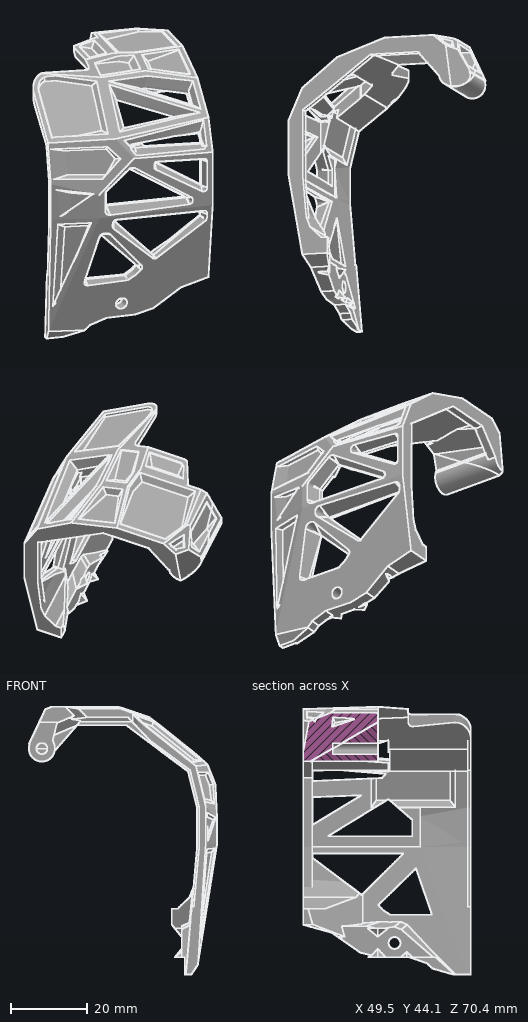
import cadquery as cq

TOTAL_X = 49.47
TOTAL_Y = 44.05
TOTAL_Z = 70.38
FAR = 200.0
CORE_POINT = cq.Vector(25.0, -20.0, -40.0)

HINGE_X = 3.44
HINGE_Z = -11.0
KNUCKLE_RADIUS = 3.44
HINGE_BORE_DIAMETER = 2.9
HINGE_BORE_END_Y = -7.8
KNUCKLE_FRONT_Y = -19.7
ARM_ROOF_X = 11.9

FLANGE_FRONT_Y = -27.6
FLANGE_CORNER_RADIUS = 2.5
NOSE_CORNER_RADIUS = 4.2
NOSE_BORDER = 1.4
NECK_FILLET = 1.2
NOSE_CORNER = (26.9, -TOTAL_Y)
NECK_CORNER = (28.45, FLANGE_FRONT_Y)
FLANGE_CORNER = (12.6, FLANGE_FRONT_Y)
FLANGE_START_X = 9.6

RIM_UNDERSIDE_Z = -4.9
RIM_WIDTH = 2.4
FRONT_BAND_WIDTH = 0.85
FRONT_BAND_DEPTH = 0.6
FRONT_BAND_END_X = 42.75
FRONT_BAND_END_Z = -52.5
WINDOW_BEVEL_DEPTH = 2.0
WINDOW_END_Z = -20.0
FLARE_ANGLE = 22.0
WALL_CUT_START_X = 35.0
WALL_CUT_END_X = 55.0
RECESS_DEPTH = 1.2
TRUSS_INNER_X = 44.7
TRUSS_FRONT_Y = -30.7
FOLD_END_Y = -42.8

PLATE_X = 40.1
HEEL_FRONT_Y = -15.7
LOWER_PLATE_X = 40.9
PLATE_ROOT_X = 43.0
PLATE_BOTTOM_Z = -65.85
SCREW_Y = -24.0
SCREW_Z = -62.05
SCREW_DIAMETER = 3.05
NIB_TIP_X = 38.3
NIB_EMBED = 0.3
NIBS = [(-19.6, -60.8, -58.2, 3.1), (-19.6, -63.2, PLATE_BOTTOM_Z, 2.5), (-27.2, -64.1, PLATE_BOTTOM_Z, 1.9)]


def prism_along_y(points_xz, y_front, y_back):
    sketch = cq.Workplane("XZ", origin=(0, y_back, 0)).polyline(points_xz).close()
    return sketch.extrude(y_back - y_front)


def prism_along_x(points_yz, x_start, x_end):
    return cq.Workplane("YZ", origin=(x_start, 0, 0)).polyline(points_yz).close().extrude(x_end - x_start)


def plane_normal(facet, toward=CORE_POINT):
    """Unit normal of the plane through three points, turned toward a given point."""
    p, q, r = (cq.Vector(*corner) for corner in facet)
    normal = (q - p).cross(r - p).normalized()
    return normal if normal.dot(toward - p) > 0 else normal * -1


def beyond(facet, toward=CORE_POINT):
    """Everything on the side of a facet's plane that faces away from a given point."""
    outward = plane_normal(facet, toward) * -1
    plane = cq.Plane(origin=facet[0], normal=outward.toTuple())
    return cq.Workplane(plane).rect(FAR, FAR).extrude(FAR)


def pyramid(base, apex):
    """Solid with a flat polygon base and one apex."""
    sides = [base] + [(base[i - 1], base[i], apex) for i in range(len(base))]
    wires = [cq.Wire.makePolygon([cq.Vector(*corner) for corner in side], close=True) for side in sides]
    faces = [cq.Face.makeFromWires(wire) for wire in wires]
    return cq.Workplane(obj=cq.Solid.makeSolid(cq.Shell.makeShell(faces)))


def on_facet(facet, point, depth=0.0):
    """Fill in the coordinate given as None so the point lies on the facet, sunk by depth."""
    normal = plane_normal(facet)
    level = normal.dot(cq.Vector(*facet[0])) + depth
    n = normal.toTuple()
    free = point.index(None)
    known = sum(n[i] * point[i] for i in range(3) if i != free)
    filled = list(point)
    filled[free] = (level - known) / n[free]
    return cq.Vector(*filled)


def pocket(facet, opening, floor, depths):
    """Tapered recess from an opening on a facet to a flat floor.

    The first three floor corners are sunk by the given depths; the others lie in the same plane.
    """
    mouth = [on_facet(facet, point) for point in opening]
    base = [on_facet(facet, point, depth) for point, depth in zip(floor, depths)]
    floor_plane = [corner.toTuple() for corner in base]
    base += [on_facet(floor_plane, point) for point in floor[3:]]
    wires = [cq.Wire.makePolygon(corners, close=True) for corners in (mouth, base)]
    return cq.Workplane(obj=cq.Solid.makeLoft(wires, True))


def at_xy(*points):
    return [(x, y, None) for x, y in points]


def at_xz(*points):
    return [(x, None, z) for x, z in points]


def at_yz(*points):
    return [(None, y, z) for y, z in points]


arm_back_low = (4.97, 0, -3.55)
arm_back_high = (8.4, 0, -0.6)
arm_corner = (2.8, -3.0, -4.2)
arm_back_foot = (3.6, 0, -14.0)
hinge_side_low = (0, KNUCKLE_FRONT_Y, -9.8)
hinge_side_high = (4.29, KNUCKLE_FRONT_Y, -0.7)
crown_left = (6.0, KNUCKLE_FRONT_Y, 0)
crown_right = (23.5, KNUCKLE_FRONT_Y, 0)
roof_back = (21.65, 0, -0.6)
flange_front = (20.0, FLANGE_FRONT_Y, -0.6)
ridge_left = (24.2, -13.35, -0.2)
ridge_right = (31.6, -13.35, -2.75)
hub = (32.0, -25.5, -3.2)
shoulder_back = (43.95, 0, -11.9)
shoulder = (47.0, -26.4, -15.25)
shoulder_front = (43.9, -TOTAL_Y, -15.6)
side_back_top = (48.1, 0, -21.3)
side_back_low = (48.1, 0, -36.0)
side_front_top = (46.45, -TOTAL_Y, -26.2)
side_front_low = (46.45, -TOTAL_Y, -36.0)
bulge_low = (TOTAL_X, -31.7, -36.0)
toe_high = (44.4, -TOTAL_Y, -67.8)
toe_low = (42.8, -TOTAL_Y, -70.2)

HINGE_SIDE = (hinge_side_low, (hinge_side_low[0], 0, hinge_side_low[2]), hinge_side_high)
HINGE_EDGE = (hinge_side_high, (hinge_side_high[0], 0, hinge_side_high[2]), crown_left)
ARM_CORNER_LOW = (arm_back_low, arm_corner, arm_back_foot)
ARM_CORNER_HIGH = (arm_back_low, arm_corner, arm_back_high)
ROOF = (roof_back, crown_left, crown_right)
FLANGE = (crown_left, crown_right, flange_front)
ROOF_SLOPE = (ridge_left, roof_back, ridge_right)
BRIDGE = (ridge_left, ridge_right, hub)
TRUSS_SLOPE = (ridge_right, hub, shoulder)
NOSE = (hub, shoulder, shoulder_front)
SHOULDER_BACK = (shoulder_back, shoulder, side_back_top)
SHOULDER_FRONT = (shoulder, shoulder_front, side_front_top)
SIDE_BACK = (side_back_top, side_back_low, bulge_low)
SIDE_FRONT = (side_front_top, side_front_low, bulge_low)
SKIRT_BACK = (side_back_low, bulge_low, toe_high)
SKIRT_FRONT = (side_front_low, bulge_low, toe_high)
TOE = (toe_high, toe_low, (toe_low[0], 0, toe_low[2]))
SKIN = [HINGE_SIDE, HINGE_EDGE, ARM_CORNER_LOW, ARM_CORNER_HIGH, ROOF, FLANGE, ROOF_SLOPE, BRIDGE,
        TRUSS_SLOPE, NOSE, SHOULDER_BACK, SHOULDER_FRONT, SIDE_BACK, SIDE_FRONT, SKIRT_BACK,
        SKIRT_FRONT, TOE]

INNER_BROW = (41.77, -17.0)
INNER_CHEEK = (44.15, -26.5)
INNER_JAW = (44.15, -36.8)
INNER_FOOT = (41.2, -TOTAL_Z)
INNER_WALL = [(25.6, RIM_UNDERSIDE_Z), INNER_BROW, INNER_CHEEK, INNER_JAW, INNER_FOOT]
BRIDGE_INNER_START = (26.4, -3.2)
BRIDGE_INNER_END = (34.0, -11.18)
ROOF_UNDERSIDE = ((0, FLANGE_FRONT_Y, -2.8), (10, FLANGE_FRONT_Y, -2.8), (0, -RIM_WIDTH, -3.9))
FLANGE_SIDE = ((FLANGE_START_X, KNUCKLE_FRONT_Y, 0), (*FLANGE_CORNER, 0),
               (ARM_ROOF_X, KNUCKLE_FRONT_Y, -2.4))
INNER_CHEEK_FACET = ((INNER_BROW[0], 0, INNER_BROW[1]), (INNER_CHEEK[0], 0, INNER_CHEEK[1]),
                     (INNER_CHEEK[0], -10, INNER_CHEEK[1]))


def plan_block():
    """Block with the plan outline of the guard, as tall as the whole part."""
    outline = [(0, 0), (TOTAL_X, 0), (TOTAL_X, -TOTAL_Y), NOSE_CORNER, NECK_CORNER, FLANGE_CORNER,
               (FLANGE_START_X, KNUCKLE_FRONT_Y), (0, KNUCKLE_FRONT_Y)]
    block = cq.Workplane("XY").polyline(outline).close().extrude(-TOTAL_Z)
    roundings = [(NOSE_CORNER, NOSE_CORNER_RADIUS), (FLANGE_CORNER, FLANGE_CORNER_RADIUS),
                 (NECK_CORNER, NECK_FILLET)]
    for (x, y), radius in roundings:
        block = block.edges(cq.NearestToPointSelector((x, y, -TOTAL_Z / 2))).fillet(radius)
    return block


def hollow():
    """Space inside the guard, with a deeper roof between the back rim and the front."""
    under = [(-1, -TOTAL_Z - 1), (-1, RIM_UNDERSIDE_Z)] + INNER_WALL + [(INNER_FOOT[0], -TOTAL_Z - 1)]
    space = prism_along_y(under, -TOTAL_Y - 1, 1)
    roof = [(-1, RIM_UNDERSIDE_Z - 5), (-1, 0), (24.5, 0), BRIDGE_INNER_START, BRIDGE_INNER_END]
    raised = prism_along_y(roof, -TOTAL_Y - 1, -RIM_WIDTH).cut(beyond(ROOF_UNDERSIDE))
    return space.union(raised)


def flange_undercut():
    """Material beside the flange, below its leaning side wall."""
    zone = prism_along_y([(-1, 1), (16.0, 1), (16.0, -6.0), (-1, -6.0)], FLANGE_FRONT_Y - 1, 1)
    return zone.intersect(beyond(FLANGE_SIDE, cq.Vector(20, -20, -1)))


def hinge_arm():
    profile = [(0, -9.8), (4.29, 0), (10.0, 0), (ARM_ROOF_X, -2.4), (7.4, -4.3), (6.3, -8.8),
               (6.6, -9.6), (HINGE_X, HINGE_Z)]
    arm = prism_along_y(profile, KNUCKLE_FRONT_Y, 0)
    knuckle = (cq.Workplane("XZ").center(HINGE_X, HINGE_Z).circle(KNUCKLE_RADIUS)
               .extrude(-KNUCKLE_FRONT_Y))
    web = [(5.0, -3.0), (14.0, -3.0), (12.7, RIM_UNDERSIDE_Z), (6.85, -11.6), (5.0, -10.0)]
    gusset = prism_along_y(web, -RIM_WIDTH, 0)
    slope = ((7.4, KNUCKLE_FRONT_Y, -4.3), (ARM_ROOF_X, KNUCKLE_FRONT_Y, -2.4),
             (12.7, -RIM_WIDTH, RIM_UNDERSIDE_Z))
    underside = prism_along_y(web, KNUCKLE_FRONT_Y, -RIM_WIDTH).cut(beyond(slope, cq.Vector(8, -10, 0)))
    return arm.union(knuckle).union(gusset).union(underside)


def hinge_bore():
    return (cq.Workplane("XZ", origin=(HINGE_X, KNUCKLE_FRONT_Y, HINGE_Z)).circle(HINGE_BORE_DIAMETER / 2)
            .extrude(KNUCKLE_FRONT_Y - HINGE_BORE_END_Y))


def back_heel():
    """Wedge on the inner wall at the back that fades into the wall toward the front."""
    profile = [(44.6, -44.0), (43.2, -47.4), (42.2, -50.0), (39.1, -53.0), (37.5, -53.0),
               (37.5, -57.2), (40.1, -60.4), (44.0, -60.4)]
    heel = prism_along_y(profile, HEEL_FRONT_Y, 0)
    fade = ((37.5, -1.3, -53.0), (37.5, -2.5, -57.2), (42.6, HEEL_FRONT_Y, -52.0))
    return heel.cut(beyond(fade, cq.Vector(44, 0, -55)))


def mounting_plate():
    """Raised foot with sloped edges, whose lowest part is stepped back toward the wall."""
    top = [(-10.2, -57.6), (-16.5, -57.6), (-20.0, -58.4), (-23.9, -57.8), (-25.8, -58.5),
           (-39.4, -TOTAL_Z), (-10.2, -TOTAL_Z)]
    root = [(-9.3, -57.4), (-20.6, -56.35), (-23.0, -56.35), (-25.9, -56.3), (-27.6, -57.0),
            (-41.0, -TOTAL_Z), (-9.3, -TOTAL_Z)]
    wires = []
    for x, corners in ((PLATE_X, top), (PLATE_ROOT_X, root)):
        wires.append(cq.Wire.makePolygon([cq.Vector(x, y, z) for y, z in corners], close=True))
    plate = cq.Workplane(obj=cq.Solid.makeLoft(wires, True))
    step = prism_along_x([(0, PLATE_BOTTOM_Z), (-TOTAL_Y, PLATE_BOTTOM_Z), (-TOTAL_Y, -TOTAL_Z - 1),
                          (0, -TOTAL_Z - 1)], PLATE_X - 1, LOWER_PLATE_X)
    return plate.cut(step)


def nib(y, root_z, tip_z, half_width):
    """Pyramid standing on the plate, with its tip toward the hollow."""
    foot = [(-half_width, tip_z), (half_width, tip_z), (0, root_z)]
    base = [(PLATE_X + NIB_EMBED, y + offset, z) for offset, z in foot]
    return pyramid(base, (NIB_TIP_X, y, tip_z))


def below_bottom_edge():
    """Everything below the stepped bottom edge of the side wall."""
    edge = [(1, -57.0), (-7.6, -59.4), (-15.0, -64.6), (-20.0, PLATE_BOTTOM_Z), (-28.0, PLATE_BOTTOM_Z),
            (-32.5, -67.4), (-34.0, -68.8), (-39.5, -TOTAL_Z), (-39.5, -TOTAL_Z - 2), (1, -TOTAL_Z - 2)]
    return prism_along_x(edge, 30, 60)


def front_band():
    """Shallow step along the inner edge of the front face."""
    d = FRONT_BAND_DEPTH
    band = [(24.0, -3.9), (25.6, RIM_UNDERSIDE_Z + d), (INNER_BROW[0] + d, INNER_BROW[1] + d / 2),
            (INNER_CHEEK[0] + d, INNER_CHEEK[1]), (INNER_JAW[0] + d, INNER_JAW[1]),
            (FRONT_BAND_END_X + d, FRONT_BAND_END_Z), (FRONT_BAND_END_X - 2, FRONT_BAND_END_Z), (24.0, -20.0)]
    return prism_along_y(band, -TOTAL_Y - 1, -TOTAL_Y + FRONT_BAND_WIDTH)


def truss_relief():
    """Flat inner face of the side truss, set back from the rims around it."""
    outline = [(-RIM_WIDTH, -16.8), (-17.9, -16.8), (-17.9, INNER_CHEEK[1]),
               (TRUSS_FRONT_Y, INNER_CHEEK[1]), (TRUSS_FRONT_Y, INNER_JAW[1]), (-RIM_WIDTH, INNER_JAW[1])]
    return prism_along_x(outline, 40.0, TRUSS_INNER_X)


def slope_relief():
    """Thinning under the sloping truss of the roof."""
    section = [(31.9, -10.5), (31.9, -6.2), (TRUSS_INNER_X, -16.7), (42.0, -17.3)]
    return prism_along_y(section, -22.4, -RIM_WIDTH)


def rim_relief():
    """Straight upper part of the back rim, where the slope runs on to the upright."""
    section = [INNER_BROW, (INNER_CHEEK[0], -18.7), INNER_CHEEK]
    return prism_along_y(section, -RIM_WIDTH, 1)


def cheek_hollow():
    """Faceted dent in the inner wall between the cheek and the front of the side truss."""
    x = INNER_CHEEK[0]
    base = [(x, TRUSS_FRONT_Y, INNER_CHEEK[1]), (x, -43.0, INNER_CHEEK[1]), (x, -41.5, -35.6),
            (x, TRUSS_FRONT_Y, INNER_JAW[1])]
    return pyramid(base, (TRUSS_INNER_X, TRUSS_FRONT_Y, -28.8))


def skirt_relief():
    """Inner face of the skirt, turned outward toward the back from a slanting fold line."""
    face = ((INNER_JAW[0], TRUSS_FRONT_Y, INNER_JAW[1]), (INNER_FOOT[0], FOLD_END_Y, INNER_FOOT[1]),
            (TRUSS_INNER_X, -RIM_WIDTH, INNER_JAW[1]))
    zone = prism_along_x([(-RIM_WIDTH, INNER_JAW[1]), (TRUSS_FRONT_Y, INNER_JAW[1]), (FOLD_END_Y, -TOTAL_Z),
                          (-RIM_WIDTH, -TOTAL_Z)], 36.0, 48.0)
    return zone.cut(beyond(face))


def cheek_recess():
    """Rectangular recess with tapered walls in the inner face of the cheek."""
    opening = at_yz((-17.9, -14.8), (-40.0, -14.8), (-40.0, -26.45), (-17.9, -26.45))
    floor = at_yz((-19.2, -15.3), (-38.6, -15.3), (-38.6, -24.6), (-19.2, -24.6))
    return pocket(INNER_CHEEK_FACET, opening, floor, [-RECESS_DEPTH] * 3)


def skin_pockets():
    """Tapered pockets in the outer facets, each given by its opening, floor and floor depths."""
    return [
        pocket(ROOF,
               at_xy((8.5, -1.5), (21.4, -1.5), (23.65, -13.3), (22.9, -18.65), (7.1, -18.65),
                     (5.6, -7.5)),
               at_xy((8.6, -1.7), (21.4, -1.7), (22.5, -13.0), (21.6, -16.95), (8.5, -16.95),
                     (6.15, -7.1)),
               [0.2, 0.2, 1.0]),
        pocket(ROOF_SLOPE,
               at_xy((22.9, -1.5), (33.25, -1.5), (30.75, -12.3), (25.1, -12.3)),
               at_xy((23.0, -1.6), (33.0, -1.6), (29.3, -11.0), (25.75, -10.9)),
               [0.2, 0.2, 1.3]),
        pocket(BRIDGE,
               at_xy((25.0, -14.5), (30.75, -14.5), (31.15, -25.65), (26.1, -25.65), (24.6, -18.65)),
               at_xy((25.9, -16.2), (29.0, -16.2), (31.0, -25.5), (26.2, -25.5), (25.2, -18.65)),
               [1.3, 1.3, 0.2]),
        pocket(FLANGE,
               at_xy((11.7, -21.2), (22.3, -21.2), (23.35, -26.1), (14.2, -26.1), (13.2, -25.3)),
               at_xy((13.8, -22.6), (21.1, -22.6), (23.1, -26.0), (14.3, -26.0), (13.7, -25.4)),
               [1.3, 1.3, 0.2]),
        pocket(HINGE_SIDE,
               at_yz((-7.6, -2.0), (-18.0, -2.15), (-18.0, -8.05), (-6.25, -8.05), (-4.7, -4.8)),
               at_yz((-8.35, -4.25), (-17.9, -2.4), (-17.9, -7.9), (-7.5, -7.25), (-7.1, -6.0)),
               [1.5, 0.1, 0.1]),
        pocket(ARM_CORNER_HIGH,
               at_xy((5.45, -1.0), (7.15, -1.0), (4.8, -5.4), (3.65, -3.0)),
               at_xy((5.0, -1.2), (6.4, -1.2), (4.7, -4.4), (4.0, -3.1)),
               [0.7] * 3),
        pocket(SHOULDER_BACK,
               at_xy((44.7, -1.5), (47.5, -1.5), (48.1, -21.9), (47.15, -24.1)),
               at_xy((45.0, -2.5), (46.4, -2.5), (47.3, -20.9), (46.7, -22.5)),
               [1.0] * 3),
        pocket(SHOULDER_FRONT,
               at_xz((44.4, -17.2), (47.05, -17.2), (48.4, -20.4), (48.7, -25.5), (46.3, -25.0)),
               at_xz((44.4, -18.0), (46.4, -18.0), (47.4, -20.6), (47.9, -24.6), (46.0, -24.2)),
               [0.8] * 3),
        pocket(SIDE_FRONT,
               at_xz((46.8, -27.8), (49.1, -29.1), (47.05, -35.2)),
               at_xz((46.9, -29.0), (48.4, -29.7), (47.0, -33.8)),
               [0.8] * 3),
        pocket(SKIRT_FRONT,
               at_xz((46.8, -37.4), (48.9, -37.2), (45.1, -60.6)),
               at_xz((46.5, -38.4), (48.0, -38.2), (45.0, -58.6)),
               [0.7] * 3),
    ]


def nose_pocket():
    """Pocket in the large front facet, with the corner next to the nose rounding kept parallel to it."""
    opening = at_xy((32.6, -27.1), (45.4, -28.0), (42.8, -42.6), (28.0, -42.6), (28.9, -37.2))
    floor = at_xy((32.4, -28.4), (43.3, -29.1), (42.75, -42.5), (28.2, -42.5), (29.05, -37.3))
    recess = pocket(NOSE, opening, floor, [0.9] * 3)
    envelope = [(28.0, -42.6), (50.0, -42.6), (50.0, -26.0), (32.9, -26.0), (28.9, -37.2)]
    rounded = cq.Workplane("XY").polyline(envelope).close().extrude(-TOTAL_Z / 2)
    corner = cq.NearestToPointSelector((28.0, -42.6, -TOTAL_Z / 4))
    return recess.intersect(rounded.edges(corner).fillet(NOSE_CORNER_RADIUS - NOSE_BORDER))


def slope_windows():
    """Two bevelled windows through the sloping truss of the roof."""
    left_opening = at_xy((35.3, -1.5), (42.2, -1.5), (33.1, -24.0), (32.9, -13.3))
    left_floor = at_xy((35.4, -2.7), (38.8, -2.7), (33.1, -16.4), (33.0, -14.0))
    right_opening = at_xy((43.0, -2.0), (45.45, -24.8), (33.9, -24.1))
    right_floor = at_xy((41.0, -7.0), (42.4, -22.7), (35.0, -22.7))
    cutters = []
    for opening, floor in ((left_opening, left_floor), (right_opening, right_floor)):
        cutters.append(pocket(TRUSS_SLOPE, opening, floor, [WINDOW_BEVEL_DEPTH] * 3))
        through = [(x, y) for x, y, _ in floor]
        cutters.append(cq.Workplane("XY").polyline(through).close().extrude(WINDOW_END_Z))
    return cutters


def side_windows():
    """Windows through the side wall, each widening outward from its own X position."""
    back = -RIM_WIDTH - 0.1
    flared_outlines = [
        (45.8, [(back, -16.8), (-9.9, -16.7), (-21.7, -17.7), (-20.7, -18.7), (back, -19.5)]),
        (45.8, [(back, -23.8), (-15.2, -23.3), (back, -31.0)]),
        (45.8, [(-22.4, -24.3), (-28.6, -29.7), (-28.6, -34.0), (-6.6, -34.0)]),
        (44.9, [(back, -38.6), (-26.3, -38.6), (-15.4, -49.4), (back, -39.7)]),
        (43.8, [(-19.75, -52.1), (-29.6, -42.5), (-33.8, -54.6), (-22.85, -54.6), (-21.0, -53.4)]),
    ]
    cutters = []
    for flare_start_x, outline in flared_outlines:
        cutters.append(prism_along_x(outline, WALL_CUT_START_X, WALL_CUT_END_X))
        flare = cq.Workplane("YZ", origin=(flare_start_x, 0, 0)).polyline(outline).close()
        cutters.append(flare.extrude(TOTAL_X - flare_start_x, taper=-FLARE_ANGLE))
    return cutters


def screw_hole():
    hole = cq.Workplane("YZ", origin=(WALL_CUT_START_X, SCREW_Y, SCREW_Z)).circle(SCREW_DIAMETER / 2)
    return hole.extrude(WALL_CUT_END_X - WALL_CUT_START_X)


def whole_guard():
    guard = plan_block().cut(hollow()).cut(front_band()).cut(truss_relief()).cut(skirt_relief())
    guard = guard.cut(slope_relief()).cut(rim_relief()).cut(cheek_hollow()).cut(flange_undercut())
    guard = guard.union(hinge_arm()).union(back_heel()).union(mounting_plate())
    for facet in SKIN:
        guard = guard.cut(beyond(facet))
    guard = guard.cut(below_bottom_edge())
    for y, root_z, tip_z, half_width in NIBS:
        guard = guard.union(nib(y, root_z, tip_z, half_width))
    for cutter in skin_pockets() + [nose_pocket(), cheek_recess()] + slope_windows() + side_windows():
        guard = guard.cut(cutter)
    return guard.cut(hinge_bore()).cut(screw_hole())


SPLIT_FRONT = (0, KNUCKLE_FRONT_Y, -4.15)
SPLIT_BACK = (0, -2.4, -14.2)
HINGE_BLOCK_HEIGHT = 20.0
KNUCKLE_POINT = cq.Vector(0, -19, -20)
SPLIT = (SPLIT_FRONT, SPLIT_BACK, (10, SPLIT_BACK[1], SPLIT_BACK[2]))

complete = whole_guard()
hinge_block = cq.Workplane("XY").box(ARM_ROOF_X, -KNUCKLE_FRONT_Y, HINGE_BLOCK_HEIGHT, centered=False)
hinge_block = hinge_block.translate((0, KNUCKLE_FRONT_Y, -HINGE_BLOCK_HEIGHT))
knuckle_zone = hinge_block.cut(beyond(SPLIT, KNUCKLE_POINT))
hinge_knuckle = complete.intersect(knuckle_zone)
guard_shell = complete.cut(knuckle_zone)

result = cq.Compound.makeCompound([guard_shell.solids().val(), hinge_knuckle.solids().val()])